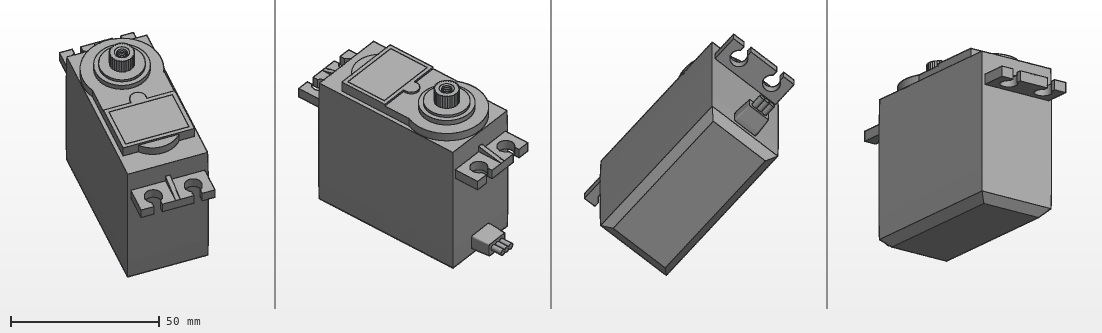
import cadquery as cq
import math

CASE_LENGTH = 58.55
CASE_WIDTH = 29.2
CASE_HEIGHT = 53.3
DRAFT_ANGLE = 0.9
LOWER_SEAM_Z = 10.85
UPPER_SEAM_Z = 41.0
BOTTOM_CHAMFER = 2.95

LUG_SPAN = 78.0
LUG_WIDTH = 26.6
LUG_BOTTOM_Z = 41.5
LUG_TOP_Z = 45.15
LUG_HOLE_RADIUS = 3.0
LUG_HOLE_X = 34.45
LUG_HOLE_Y = 7.2
LUG_SLOT_WIDTH = 3.0
RIB_WIDTH = 1.7
RIB_TOP_Z = 47.4
RIB_END_GAP = 0.15

SHAFT_X = -14.6
PLATE_TOP_Z = 56.5
PLATE_WIDTH = 25.7
PLATE_END_X = 20.6
SHAFT_DISC_RADIUS = 14.1
REAR_DISC_X = 14.4
REAR_DISC_RADIUS = 9.6

COVER_START_X = 1.8
COVER_TOP_Z = 57.2
TAB_X = 0.9
TAB_RADIUS = 2.9
PANEL_BORDER = 1.4
PANEL_DEPTH = 0.1

COLLAR_RADIUS = 9.6
COLLAR_TOP_Z = 58.4
COLLAR_STEP_RADIUS = 7.9
COLLAR_STEP_TOP_Z = 59.35
SHAFT_TOP_Z = 64.5
SPLINE_TEETH = 30
SPLINE_TIP_RADIUS = 4.3
SPLINE_ROOT_RADIUS = 4.1

THREAD_MAJOR_RADIUS = 2.55
THREAD_MINOR_RADIUS = 1.8
THREAD_PITCH = 0.8
THREAD_RINGS = 6

BOOT_WIDTH = 9.4
BOOT_HEIGHT = 5.75
BOOT_CENTRE_Z = 8.0
BOOT_CORNER = 0.7
BOOT_EMBED = 0.8
BOOT_FLARE_X = -30.8
BOOT_FRONT_X = -36.5
BOOT_FRONT_WIDTH = 8.4
BOOT_FRONT_HEIGHT = 4.95
BOOT_FRONT_CORNER = 0.2
WIRE_END_X = -40.75
WIRE_RADIUS = 1.1
WIRE_SPACING = 2.1
WIRE_Z = 8.05
WIRE_COUNT = 3


def block(x_min, x_max, width, z_min, z_max):
    """Box centred on Y = 0."""
    box = cq.Workplane("XY").box(x_max - x_min, width, z_max - z_min, centered=(False, True, False))
    return box.translate((x_min, 0, z_min))


def disc(x, radius, z_min, z_max, y=0):
    """Vertical cylinder."""
    return cq.Workplane("XY", origin=(x, y, z_min)).circle(radius).extrude(z_max - z_min)


def case_section(z):
    return cq.Workplane("XY", origin=(0, 0, z)).rect(CASE_LENGTH, CASE_WIDTH)


def make_case():
    lower = case_section(LOWER_SEAM_Z).extrude(-LOWER_SEAM_Z, taper=DRAFT_ANGLE)
    lower = lower.faces("<Z").chamfer(BOTTOM_CHAMFER)
    middle = case_section(LOWER_SEAM_Z).extrude(UPPER_SEAM_Z - LOWER_SEAM_Z)
    upper = case_section(UPPER_SEAM_Z).extrude(CASE_HEIGHT - UPPER_SEAM_Z, taper=DRAFT_ANGLE)
    return lower.union(middle).union(upper)


def make_lugs():
    half_span = LUG_SPAN / 2
    lugs = block(-half_span, half_span, LUG_WIDTH, LUG_BOTTOM_Z, LUG_TOP_Z)
    slot_length = half_span - LUG_HOLE_X
    for side_x in (-1, 1):
        for side_y in (-1, 1):
            hole_y = side_y * LUG_HOLE_Y
            hole = disc(side_x * LUG_HOLE_X, LUG_HOLE_RADIUS, LUG_BOTTOM_Z, LUG_TOP_Z, hole_y)
            slot_x = side_x * (LUG_HOLE_X + slot_length / 2)
            slot = (
                cq.Workplane("XY", origin=(slot_x, hole_y, LUG_BOTTOM_Z))
                .rect(slot_length, LUG_SLOT_WIDTH)
                .extrude(LUG_TOP_Z - LUG_BOTTOM_Z)
            )
            lugs = lugs.cut(hole).cut(slot)
    return lugs


def make_ribs():
    """Sloping gussets on both lugs: one trapezoid running through the case."""
    foot_x = LUG_SPAN / 2 - RIB_END_GAP
    draft = (RIB_TOP_Z - UPPER_SEAM_Z) * math.tan(math.radians(DRAFT_ANGLE))
    top_x = CASE_LENGTH / 2 - draft
    outline = [(-foot_x, LUG_TOP_Z), (foot_x, LUG_TOP_Z), (top_x, RIB_TOP_Z), (-top_x, RIB_TOP_Z)]
    return cq.Workplane("XZ").polyline(outline).close().extrude(RIB_WIDTH / 2, both=True)


def make_housing():
    plate = block(SHAFT_X, PLATE_END_X, PLATE_WIDTH, CASE_HEIGHT, PLATE_TOP_Z)
    shaft_disc = disc(SHAFT_X, SHAFT_DISC_RADIUS, CASE_HEIGHT, PLATE_TOP_Z)
    rear_disc = disc(REAR_DISC_X, REAR_DISC_RADIUS, CASE_HEIGHT, PLATE_TOP_Z)
    collar = disc(SHAFT_X, COLLAR_RADIUS, PLATE_TOP_Z, COLLAR_TOP_Z)
    collar_step = disc(SHAFT_X, COLLAR_STEP_RADIUS, COLLAR_TOP_Z, COLLAR_STEP_TOP_Z)
    return plate.union(shaft_disc).union(rear_disc).union(collar).union(collar_step)


def make_cover():
    cover = block(COVER_START_X, PLATE_END_X, PLATE_WIDTH, PLATE_TOP_Z, COVER_TOP_Z)
    tab = disc(TAB_X, TAB_RADIUS, PLATE_TOP_Z, COVER_TOP_Z)
    tab_neck = block(TAB_X, COVER_START_X, 2 * TAB_RADIUS, PLATE_TOP_Z, COVER_TOP_Z)
    panel = block(
        COVER_START_X + PANEL_BORDER,
        PLATE_END_X - PANEL_BORDER,
        PLATE_WIDTH - 2 * PANEL_BORDER,
        COVER_TOP_Z - PANEL_DEPTH,
        COVER_TOP_Z,
    )
    return cover.union(tab).union(tab_neck).cut(panel)


def make_shaft():
    """Spline of rounded teeth that meet in sharp grooves; one groove faces +X."""

    def point(radius, teeth_round):
        angle = teeth_round * 2 * math.pi / SPLINE_TEETH
        return (radius * math.cos(angle), radius * math.sin(angle))

    outline = cq.Workplane("XY", origin=(SHAFT_X, 0, COLLAR_STEP_TOP_Z)).moveTo(SPLINE_ROOT_RADIUS, 0)
    for tooth in range(SPLINE_TEETH):
        tip = point(SPLINE_TIP_RADIUS, tooth + 0.5)
        next_groove = point(SPLINE_ROOT_RADIUS, tooth + 1)
        outline = outline.threePointArc(tip, next_groove)
    return outline.close().extrude(SHAFT_TOP_Z - COLLAR_STEP_TOP_Z)


def make_screw_hole():
    """Revolved hole whose wall zigzags between the major and minor thread radii."""
    outline = [(0, 0), (THREAD_MAJOR_RADIUS, 0)]
    for ring in range(THREAD_RINGS):
        ring_top = -ring * THREAD_PITCH
        outline.append((THREAD_MINOR_RADIUS, ring_top - THREAD_PITCH / 2))
        outline.append((THREAD_MAJOR_RADIUS, ring_top - THREAD_PITCH))
    outline.append((0, -THREAD_RINGS * THREAD_PITCH))
    profile = cq.Workplane("XZ", origin=(SHAFT_X, 0, SHAFT_TOP_Z)).polyline(outline).close()
    return profile.revolve(360, (0, 0, 0), (0, 1, 0))


def rounded_section(width, height, corner):
    return cq.Sketch().rect(width, height).vertices().fillet(corner)


def make_cable_boot():
    """Straight root at the case, then a taper to an almost square-cornered front."""
    root_section = rounded_section(BOOT_WIDTH, BOOT_HEIGHT, BOOT_CORNER)
    front_section = rounded_section(BOOT_FRONT_WIDTH, BOOT_FRONT_HEIGHT, BOOT_FRONT_CORNER)
    root_plane = cq.Plane(origin=(BOOT_FLARE_X, 0, BOOT_CENTRE_Z), xDir=(0, -1, 0), normal=(-1, 0, 0))
    root_length = -BOOT_FLARE_X - CASE_LENGTH / 2 + BOOT_EMBED
    root = cq.Workplane(root_plane).placeSketch(root_section).extrude(-root_length)
    taper_length = BOOT_FLARE_X - BOOT_FRONT_X
    raised_front = front_section.moved(cq.Location(cq.Vector(0, 0, taper_length)))
    taper = cq.Workplane(root_plane).placeSketch(root_section, raised_front).loft()
    return root.union(taper)


def make_wires():
    middle_y = (WIRE_COUNT - 1) / 2 * WIRE_SPACING
    wires = cq.Workplane("XY")
    for wire in range(WIRE_COUNT):
        start = cq.Workplane("YZ", origin=(WIRE_END_X, wire * WIRE_SPACING - middle_y, WIRE_Z))
        wires = wires.union(start.circle(WIRE_RADIUS).extrude(BOOT_FRONT_X - WIRE_END_X))
    return wires


result = (
    make_case()
    .union(make_lugs())
    .union(make_ribs())
    .union(make_housing())
    .union(make_cover())
    .union(make_shaft())
    .cut(make_screw_hole())
    .union(make_cable_boot())
    .union(make_wires())
)